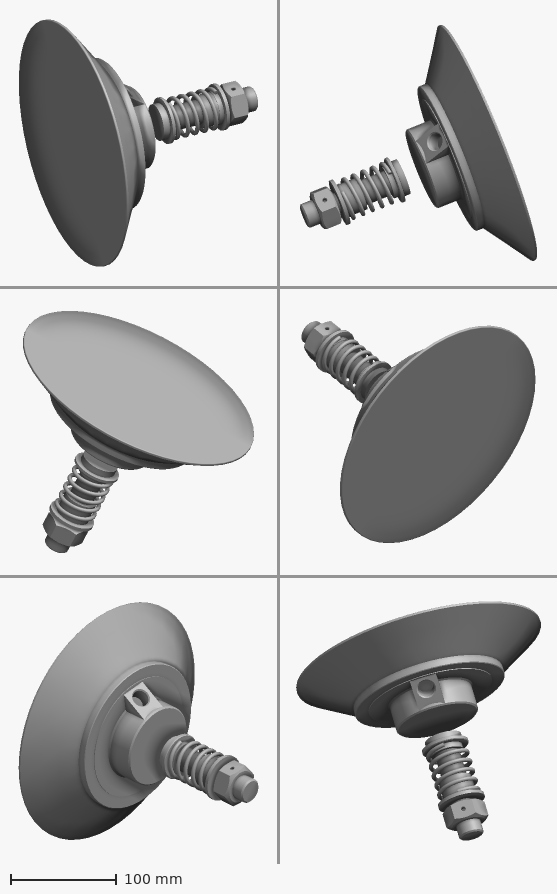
import cadquery as cq
import math

PORT_TURN = 7.5
SIDE_DIRECTION = cq.Vector(math.sin(math.radians(PORT_TURN)), 0, math.cos(math.radians(PORT_TURN)))

LIP_D = 239.8
LIP_THICKNESS = 2.5
LIP_ROUND = 1.0
PLATE_D = 147.0
PLATE_BOTTOM = 34.5
PLATE_TOP = 42.2
PLATE_CHAMFER = 0.7
STEP_D = 121.0
STEP_TOP = 43.0
HUB_D = 80.0
HUB_TOP = 68.8
HUB_CHAMFER = 1.5

BOSS_WIDTH = 25.7
BOSS_START = 64.7
BOSS_SLOPE = 38.0
PORT_HEIGHT = 52.3
PORT_D = 16.0
PORT_CHAMFER = 1.2
PORT_DEPTH = 15.3

FOOT_D = 35.5
FOOT_BOTTOM = 87.3
FOOT_TOP = 93.5
FOOT_NECK_D = 33.5
WASHER_D = 45.0
WASHER_THICKNESS = 3.4
LOWER_WASHER_BOTTOM = 94.5
LOWER_WASHER_TOP = LOWER_WASHER_BOTTOM + WASHER_THICKNESS
WASHER_CHAMFER = 0.7
LOWER_COLLAR_D = 32.0
LOWER_COLLAR_TOP = 102.9
ROD_D = 24.0
SLEEVE_D = 32.0
SLEEVE_BOTTOM = 130.7
UPPER_COLLAR_D = 33.0
UPPER_COLLAR_BOTTOM = 146.3
UPPER_WASHER_BOTTOM = 150.8
UPPER_WASHER_TOP = UPPER_WASHER_BOTTOM + WASHER_THICKNESS
NECK_D = 20.0
NECK_TOP = 155.9
ROD_TOP = 189.0
ROD_CHAMFER = 1.5

NUT_FLATS = 36.0
NUT_BOTTOM = 157.3
NUT_TOP = 176.5
NUT_FACE_D = 32.0
NUT_CHAMFER_HEIGHT = 2.6
PIN_HOLE_D = 4.0
PIN_HOLE_DEPTH = 4.8
PIN_HOLE_CHAMFER = 0.5
PIN_HOLE_HEIGHT = 167.0

WIRE_D = 4.0
SPRING_INNER_D = 33.0
SPRING_TURNS = 5


def revolved(profile):
    """Turn a closed (radius, height) outline about the Y axis."""
    return cq.Workplane("XY").polyline(profile).close().revolve(360, (0, 0, 0), (0, 1, 0))


def cross_plane(height):
    """Plane square to the axis, facing down, with local X along the turned side direction."""
    return cq.Plane((0, height, 0), SIDE_DIRECTION, (0, -1, 0))


def chamfered_hole(diameter, depth, chamfer, mouth, inward):
    """Cutter for a blind hole with a 45 degree chamfer at its mouth."""
    bore = cq.Solid.makeCylinder(diameter / 2, depth, mouth, inward)
    countersink = cq.Solid.makeCone(diameter / 2 + chamfer, diameter / 2, chamfer, mouth, inward)
    return cq.Workplane(bore.fuse(countersink))


def make_port_boss():
    """Wedge whose sloping face runs from the hub wall down to the step."""
    hub_radius = HUB_D / 2
    slope = math.tan(math.radians(BOSS_SLOPE))
    toe_radius = hub_radius + (BOSS_START - PLATE_TOP) * slope
    peak = HUB_TOP - HUB_CHAMFER
    peak_radius = hub_radius - (peak - BOSS_START) * slope
    side_plane = cq.Plane((0, 0, 0), SIDE_DIRECTION, SIDE_DIRECTION.cross(cq.Vector(0, 1, 0)))
    outline = [(0, PLATE_TOP), (toe_radius, PLATE_TOP), (peak_radius, peak), (0, peak)]
    return cq.Workplane(side_plane).polyline(outline).close().extrude(BOSS_WIDTH / 2, both=True)


def make_port_hole():
    """Blind chamfered hole square to the sloping face of the boss."""
    slope = math.radians(BOSS_SLOPE)
    radius = HUB_D / 2 + (BOSS_START - PORT_HEIGHT) * math.tan(slope)
    mouth = SIDE_DIRECTION * radius + cq.Vector(0, PORT_HEIGHT, 0)
    inward = SIDE_DIRECTION * -math.cos(slope) - cq.Vector(0, math.sin(slope), 0)
    return chamfered_hole(PORT_D, PORT_DEPTH, PORT_CHAMFER, mouth, inward)


def make_suction_cup():
    lip, plate, hub = LIP_D / 2, PLATE_D / 2, HUB_D / 2
    body = revolved([
        (0, 0),
        (lip, 0),
        (lip, LIP_THICKNESS),
        (plate, PLATE_BOTTOM),
        (plate, PLATE_TOP - PLATE_CHAMFER),
        (plate - PLATE_CHAMFER, PLATE_TOP),
        (STEP_D / 2, PLATE_TOP),
        (STEP_D / 2, STEP_TOP),
        (hub + HUB_CHAMFER, STEP_TOP),
        (hub, STEP_TOP + HUB_CHAMFER),
        (hub, HUB_TOP - HUB_CHAMFER),
        (hub - HUB_CHAMFER, HUB_TOP),
        (0, HUB_TOP),
    ])
    body = body.faces("<Y").edges().fillet(LIP_ROUND)
    return body.union(make_port_boss()).cut(make_port_hole())


def make_nut():
    """Hexagon with both ends coned off, and a small blind hole in one flat."""
    corner_d = NUT_FLATS / math.cos(math.radians(30))
    height = NUT_TOP - NUT_BOTTOM
    hexagon = cq.Workplane(cross_plane(NUT_TOP)).transformed(rotate=(0, 0, 30))
    hexagon = hexagon.polygon(6, corner_d).extrude(height)
    coned_ends = revolved([
        (0, NUT_BOTTOM),
        (NUT_FACE_D / 2, NUT_BOTTOM),
        (corner_d / 2, NUT_BOTTOM + NUT_CHAMFER_HEIGHT),
        (corner_d / 2, NUT_TOP - NUT_CHAMFER_HEIGHT),
        (NUT_FACE_D / 2, NUT_TOP),
        (0, NUT_TOP),
    ])
    mouth = SIDE_DIRECTION * (NUT_FLATS / 2) + cq.Vector(0, PIN_HOLE_HEIGHT, 0)
    pin_hole = chamfered_hole(PIN_HOLE_D, PIN_HOLE_DEPTH, PIN_HOLE_CHAMFER, mouth, SIDE_DIRECTION * -1)
    return hexagon.intersect(coned_ends).cut(pin_hole)


def make_spindle():
    rod, washer = ROD_D / 2, WASHER_D / 2
    shaft = revolved([
        (0, FOOT_BOTTOM),
        (FOOT_D / 2, FOOT_BOTTOM),
        (FOOT_D / 2, FOOT_TOP),
        (FOOT_NECK_D / 2, FOOT_TOP),
        (FOOT_NECK_D / 2, LOWER_WASHER_BOTTOM),
        (washer, LOWER_WASHER_BOTTOM),
        (washer, LOWER_WASHER_TOP - WASHER_CHAMFER),
        (washer - WASHER_CHAMFER, LOWER_WASHER_TOP),
        (LOWER_COLLAR_D / 2, LOWER_WASHER_TOP),
        (LOWER_COLLAR_D / 2, LOWER_COLLAR_TOP),
        (rod, LOWER_COLLAR_TOP),
        (rod, SLEEVE_BOTTOM),
        (SLEEVE_D / 2, SLEEVE_BOTTOM),
        (SLEEVE_D / 2, UPPER_COLLAR_BOTTOM),
        (UPPER_COLLAR_D / 2, UPPER_COLLAR_BOTTOM),
        (UPPER_COLLAR_D / 2, UPPER_WASHER_BOTTOM),
        (washer, UPPER_WASHER_BOTTOM),
        (washer, UPPER_WASHER_TOP),
        (NECK_D / 2, UPPER_WASHER_TOP),
        (NECK_D / 2, NECK_TOP),
        (rod, NECK_TOP),
        (rod, ROD_TOP - ROD_CHAMFER),
        (rod - ROD_CHAMFER, ROD_TOP),
        (0, ROD_TOP),
    ])
    return shaft.union(make_nut())


def make_spring():
    """Right-handed round-wire coil that fills the gap between the washers."""
    coil_radius = (SPRING_INNER_D + WIRE_D) / 2
    top = UPPER_WASHER_BOTTOM - WIRE_D / 2
    rise = top - LOWER_WASHER_TOP - WIRE_D / 2
    start = cross_plane(top)
    path = cq.Wire.makeHelix(rise / SPRING_TURNS, rise, coil_radius).moved(cq.Location(start))
    wire_plane = cq.Plane(SIDE_DIRECTION * coil_radius + cq.Vector(0, top, 0), SIDE_DIRECTION,
                          SIDE_DIRECTION.cross(cq.Vector(0, 1, 0)))
    return cq.Workplane(wire_plane).circle(WIRE_D / 2).sweep(cq.Workplane(path), isFrenet=True)


suction_cup = make_suction_cup()
spindle = make_spindle()
spring = make_spring()

result = cq.Compound.makeCompound([suction_cup.solids().val(), spindle.solids().val(), spring.val()])